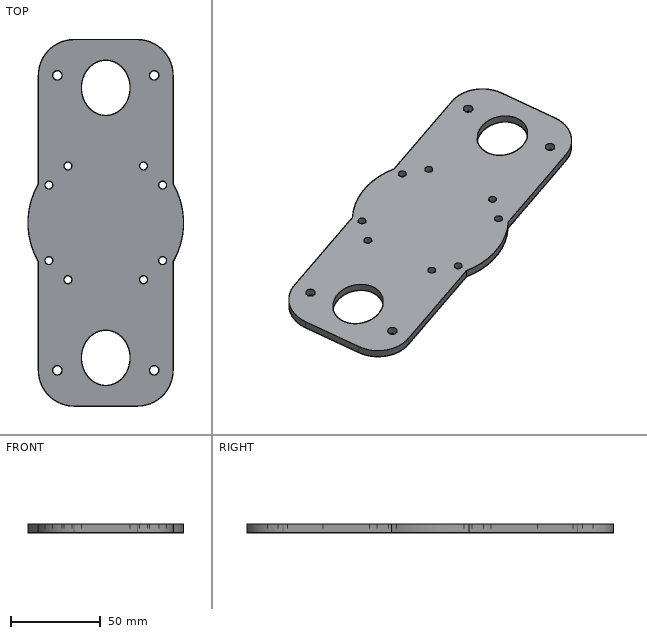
import cadquery as cq

length = 204.0
width = 75.0
thickness = 5.0
corner_radius = 20.0
hub_diameter = 86.7

window_width = 27.0
window_length = 30.5
window_offset = 75.0

corner_hole_diameter = 5.0
corner_hole_x = 27.0
corner_hole_y = 82.0
hub_hole_diameter = 4.3
hub_hole_near = 21.0
hub_hole_far = 31.6


def mirrored(x, y):
    """Return the four points that mirror (x, y) about both plate axes."""
    return [(sx * x, sy * y) for sx in (-1, 1) for sy in (-1, 1)]


def make_plate():
    bar = cq.Workplane("XY").rect(width, length).extrude(thickness)
    bar = bar.edges("|Z").fillet(corner_radius)
    hub = cq.Workplane("XY").circle(hub_diameter / 2).extrude(thickness)
    return bar.union(hub)


def cylinders(points, diameter):
    return cq.Workplane("XY").pushPoints(points).circle(diameter / 2).extrude(thickness)


def make_windows():
    centers = [(0, -window_offset), (0, window_offset)]
    outline = cq.Workplane("XY").pushPoints(centers).ellipse(window_width / 2, window_length / 2)
    return outline.extrude(thickness)


hub_hole_points = mirrored(hub_hole_near, hub_hole_far) + mirrored(hub_hole_far, hub_hole_near)

result = (
    make_plate()
    .cut(make_windows())
    .cut(cylinders(mirrored(corner_hole_x, corner_hole_y), corner_hole_diameter))
    .cut(cylinders(hub_hole_points, hub_hole_diameter))
)